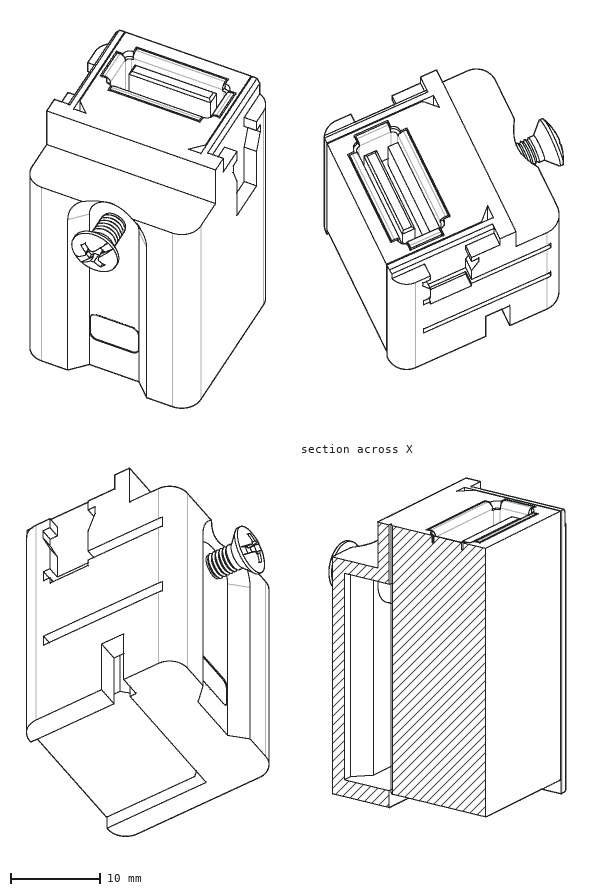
import cadquery as cq
import math


width = 21.0
depth = 20.95
height = 33.8
corner_radius = 2.35
step_height = 28.32
plate_front = 6.2
cavity_half_width = 7.9
cavity_front = 7.77

groove_floor_half = 3.08
groove_depth = 1.83
groove_half = groove_floor_half + groove_depth
screw_z = 24.55

shell_thickness = 1.65
floor_thickness = 2.05
boss_radius = 2.87

badge_width = 6.0
badge_height = 4.05
badge_z = 6.42
badge_radius = 0.85
badge_depth = 0.15

cheek_half = 8.95
cheek_front = 8.18
ledge_z = 31.57
cheek_chamfer_width = 0.4
cheek_chamfer_height = 0.5
clip_y = 14.23
clip_half = 2.55
clip_barb_half = 3.48
clip_bottom = 21.12
clip_taper_bottom = 26.75
clip_barb_bottom = 29.05
clip_barb_top = 30.1

slot_front = 1.85
slot_back = 17.6
slot_height = 1.45
slot_bottoms = (11.55, 22.0)
notch_front = 6.95
notch_back = 9.9
notch_height = 7.4

insert_half = 7.8
insert_bottom = 1.7
insert_chamfer = 1.42
usb_y = 15.75
usb_length = 12.5
usb_width = 4.97
usb_radius = 0.5
usb_depth = 10.15
rim_width = 0.37
rim_depth = 0.88
lip_reach = 1.0
lip_radius = 0.68
lip_gap = 0.17
long_lip = 11.1
short_lip = 3.85
tongue_y = 16.95
tongue_length = 10.15
tongue_width = 1.55
tongue_top = 33.1
tongue_chamfer_side = 0.27
tongue_chamfer_drop = 0.35
spring_length = 11.15
spring_width = 1.2
spring_drop = 3.38

thread_radius = 1.52
thread_root_radius = 1.3
thread_pitch = 0.47
thread_turns = 9
thread_start = -0.9
shank_start = -1.55
head_radius = 2.85
head_cone_end = shank_start - (head_radius - thread_radius)
head_rim = 0.37
head_rim_end = head_cone_end - head_rim
head_front = -4.0
drive_slot_width = 0.9
cross_width = 0.75
cross_core_radius = 0.8
cross_floor = -2.7
cross_long_arm = 1.72
cross_short_arm = 1.3
drive_angle = 45


def block(x0, x1, y0, y1, z0, z1):
    """Box given by its limits along each axis."""
    return cq.Workplane("XY").box(x1 - x0, y1 - y0, z1 - z0, centered=False).translate((x0, y0, z0))


def mirrored(shape):
    """A shape together with its mirror image across the YZ plane."""
    return shape.union(shape.mirror("YZ"))


def outer_body():
    body = block(-width / 2, width / 2, 0, depth, 0, height).edges("|Z").fillet(corner_radius)
    shoulder = block(-width / 2, width / 2, 0, plate_front, step_height, height)
    return body.cut(shoulder)


def groove():
    """Trapezoidal channel from the bottom up to a conical end around the screw axis."""
    channel = (
        cq.Workplane("XY")
        .polyline([
            (-groove_half, 0),
            (groove_half, 0),
            (groove_floor_half, groove_depth),
            (-groove_floor_half, groove_depth),
        ])
        .close()
        .extrude(screw_z)
    )
    end_cone = cq.Workplane("XY").add(cq.Solid.makeCone(
        groove_half, groove_floor_half, groove_depth, cq.Vector(0, 0, screw_z), cq.Vector(0, 1, 0)
    ))
    return channel.union(end_cone)


def badge_recess():
    return (
        cq.Workplane("XZ", origin=(0, groove_depth, badge_z))
        .rect(badge_width, badge_height)
        .extrude(-badge_depth)
        .edges("|Y")
        .fillet(badge_radius)
    )


def front_cavity():
    """Space inside the shell; its front wall follows the groove and leaves a boss for the screw."""
    flank_shift = shell_thickness * math.tan(math.radians(45 / 2))
    hump_half = groove_half + flank_shift
    hump_top_half = groove_floor_half + flank_shift
    cavity_top = step_height - shell_thickness
    space = (
        cq.Workplane("XY", origin=(0, 0, floor_thickness))
        .polyline([
            (-cavity_half_width, shell_thickness),
            (-hump_half, shell_thickness),
            (-hump_top_half, shell_thickness + groove_depth),
            (hump_top_half, shell_thickness + groove_depth),
            (hump_half, shell_thickness),
            (cavity_half_width, shell_thickness),
            (cavity_half_width, cavity_front),
            (-cavity_half_width, cavity_front),
        ])
        .close()
        .extrude(cavity_top - floor_thickness)
    )
    boss = cq.Workplane("XZ", origin=(0, 0, screw_z)).circle(boss_radius).extrude(-cavity_front)
    return space.cut(boss)


def cheek_ledges():
    """Side strips removed beside the top of the cheeks, with the chamfer on the cheek edge."""
    profile = (
        cq.Workplane("XZ", origin=(0, depth, 0))
        .polyline([
            (width / 2, ledge_z),
            (width / 2, height),
            (cheek_half - cheek_chamfer_width, height),
            (cheek_half, height - cheek_chamfer_height),
            (cheek_half, ledge_z),
        ])
        .close()
        .extrude(depth - cheek_front)
    )
    return mirrored(profile)


def clip_recesses():
    half_outline = [
        (clip_half, ledge_z),
        (clip_half, clip_barb_top),
        (clip_barb_half, clip_barb_top),
        (clip_barb_half, clip_barb_bottom),
        (clip_half, clip_taper_bottom),
        (clip_half, clip_bottom),
    ]
    outline = [(clip_y + y, z) for y, z in half_outline]
    outline += [(clip_y - y, z) for y, z in reversed(half_outline)]
    recess = (
        cq.Workplane("YZ", origin=(cheek_half, 0, 0))
        .polyline(outline)
        .close()
        .extrude(width / 2 - cheek_half)
    )
    return mirrored(recess)


def side_openings():
    """Two long slots and the bottom notch through the -X wall."""
    wall = (-width / 2, -cavity_half_width)
    openings = block(*wall, notch_front, notch_back, 0, notch_height)
    for bottom in slot_bottoms:
        openings = openings.union(block(*wall, slot_front, slot_back, bottom, bottom + slot_height))
    return openings


def rounded_pocket(margin, pocket_depth):
    return (
        cq.Workplane("XY", origin=(0, usb_y, height))
        .rect(usb_length + 2 * margin, usb_width + 2 * margin)
        .extrude(-pocket_depth)
        .edges("|Z")
        .fillet(usb_radius + margin)
    )


def lip(length, wall_distance, angle):
    """Flared shell lip, rounded towards the opening, turned about the opening's centre."""
    strip = block(
        -length / 2, length / 2, wall_distance, wall_distance + lip_reach, height - rim_depth, height
    )
    strip = strip.edges("|X and <Y and >Z").fillet(lip_radius)
    return strip.rotate((0, 0, 0), (0, 0, 1), angle).translate((0, usb_y, 0))


def lip_pocket(length, wall_distance, angle):
    pocket = block(
        -length / 2 - lip_gap, length / 2 + lip_gap,
        0, wall_distance + lip_reach + lip_gap,
        height - rim_depth, height,
    )
    return pocket.rotate((0, 0, 0), (0, 0, 1), angle).translate((0, usb_y, 0))


def tongue():
    body = block(
        -tongue_length / 2, tongue_length / 2,
        tongue_y - tongue_width / 2, tongue_y + tongue_width / 2,
        height - usb_depth, tongue_top,
    )
    return body.faces(">Z").chamfer(tongue_chamfer_drop, tongue_chamfer_side)


def contact_spring():
    wall_y = usb_y - usb_width / 2
    return block(
        -spring_length / 2, spring_length / 2, wall_y, wall_y + spring_width,
        height - usb_depth, height - spring_drop,
    )


def usb_insert():
    insert = block(-insert_half, insert_half, cavity_front, depth, insert_bottom, height)
    insert = insert.edges("|Z and <Y").chamfer(insert_chamfer)
    insert = insert.cut(rounded_pocket(rim_width, rim_depth))
    lips = [
        (long_lip, usb_width / 2, 0),
        (short_lip, usb_length / 2, 90),
        (long_lip, usb_width / 2, 180),
        (short_lip, usb_length / 2, 270),
    ]
    for placement in lips:
        insert = insert.cut(lip_pocket(*placement))
    insert = insert.cut(rounded_pocket(0, usb_depth))
    for placement in lips:
        insert = insert.union(lip(*placement))
    return insert.union(tongue()).union(contact_spring())


def screw_blank():
    """Profile of the screw turned about the Y axis; threads are V-shaped rings."""
    outline = cq.Workplane("XY").moveTo(0, head_front)
    bulge = head_rim_end - head_front
    dome_radius = (head_radius ** 2 + bulge ** 2) / (2 * bulge)
    mid_x = head_radius / 2
    mid_y = head_front + dome_radius - math.sqrt(dome_radius ** 2 - mid_x ** 2)
    outline = (
        outline.threePointArc((mid_x, mid_y), (head_radius, head_rim_end))
        .lineTo(head_radius, head_cone_end)
        .lineTo(thread_radius, shank_start)
        .lineTo(thread_radius, thread_start)
    )
    for turn in range(thread_turns):
        crest = thread_start + (turn + 1) * thread_pitch
        outline = outline.lineTo(thread_root_radius, crest - thread_pitch / 2).lineTo(thread_radius, crest)
    shaft_end = thread_start + thread_turns * thread_pitch
    return outline.lineTo(0, shaft_end).close().revolve(360, (0, 0, 0), (0, 1, 0))


def drive_recess():
    """Straight slot across the head plus a deeper cross with a round core."""
    slot = (
        cq.Workplane("XZ", origin=(0, head_rim_end, 0))
        .rect(2 * head_radius, drive_slot_width)
        .extrude(head_rim_end - head_front)
    )
    cross_plane = cq.Workplane("XZ", origin=(0, cross_floor, 0))
    cross_depth = cross_floor - head_front
    cross = cross_plane.circle(cross_core_radius).extrude(cross_depth)
    cross = cross.union(cross_plane.rect(2 * cross_short_arm, cross_width).extrude(cross_depth))
    cross = cross.union(cross_plane.rect(cross_width, 2 * cross_long_arm).extrude(cross_depth))
    recess = slot.union(cross)
    return recess.rotate((0, 0, 0), (0, 1, 0), -drive_angle)


def screw():
    return screw_blank().cut(drive_recess()).translate((0, 0, screw_z))


insert_bay = block(-cavity_half_width, cavity_half_width, cavity_front, depth, 0, height)

housing = (
    outer_body()
    .cut(groove())
    .cut(badge_recess())
    .cut(insert_bay)
    .cut(front_cavity())
    .cut(cheek_ledges())
    .cut(clip_recesses())
    .cut(side_openings())
)

result = housing.union(usb_insert()).union(screw())